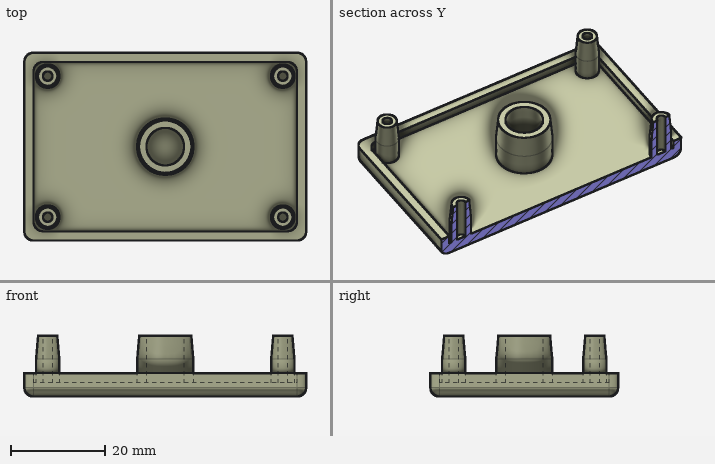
import cadquery as cq
import math

length = 60.0
width = 40.0
tray_height = 5.0
floor_thickness = 3.0
wall = 2.0
corner_radius = 2.0
pocket_corner_radius = 2.0
bottom_fillet = corner_radius

total_height = 13.0
taper_height = 5.0
draft_angle = 5.0
boss_diameter = 12.0
boss_bore = 8.0
post_diameter = 5.0
post_bore = 2.0
post_spacing_x = 50.0
post_spacing_y = 30.0


def make_tray():
    """Shallow open tray with rounded corners and a rounded bottom edge."""
    body = (
        cq.Workplane("XY")
        .rect(length, width)
        .extrude(tray_height)
        .edges("|Z")
        .fillet(corner_radius)
        .faces("<Z")
        .edges()
        .fillet(bottom_fillet)
    )
    pocket = (
        cq.Workplane("XY", origin=(0, 0, floor_thickness))
        .rect(length - 2 * wall, width - 2 * wall)
        .extrude(tray_height - floor_thickness)
        .edges("|Z")
        .fillet(pocket_corner_radius)
    )
    return body.cut(pocket)


def make_tube(diameter, bore, x, y):
    """Tube standing on the tray floor, straight below and drafted inward near the top."""
    base_radius = diameter / 2
    top_radius = base_radius - taper_height * math.tan(math.radians(draft_angle))
    bore_radius = bore / 2
    profile = [
        (bore_radius, floor_thickness),
        (base_radius, floor_thickness),
        (base_radius, total_height - taper_height),
        (top_radius, total_height),
        (bore_radius, total_height),
    ]
    tube = cq.Workplane("XZ").polyline(profile).close().revolve(360, (0, 0), (0, 1))
    return tube.translate((x, y, 0))


result = make_tray().union(make_tube(boss_diameter, boss_bore, 0, 0))
for side_x in (-1, 1):
    for side_y in (-1, 1):
        post_x = side_x * post_spacing_x / 2
        post_y = side_y * post_spacing_y / 2
        result = result.union(make_tube(post_diameter, post_bore, post_x, post_y))